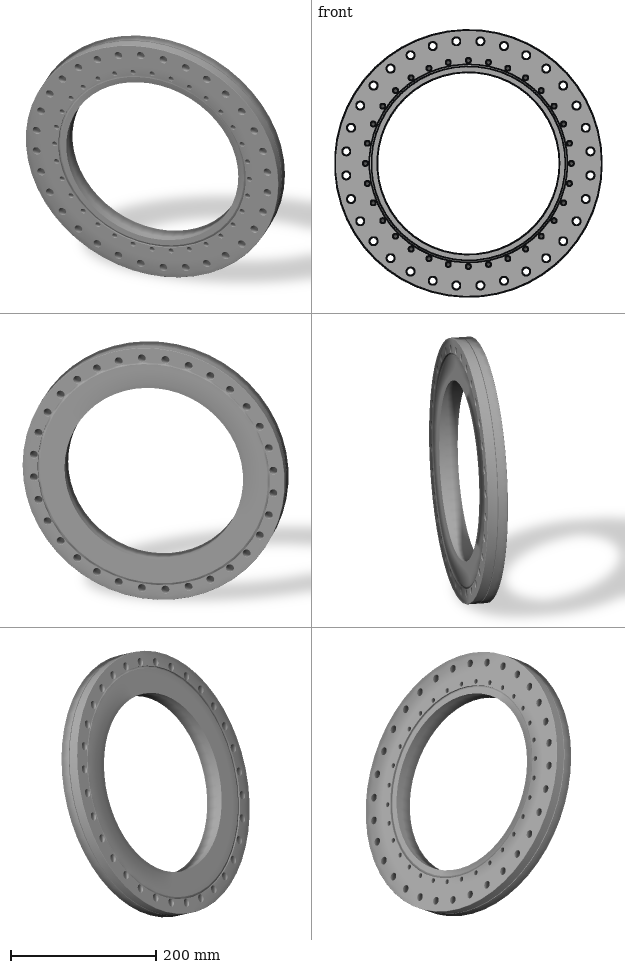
import cadquery as cq
import math

outer_diameter = 368.3
bore_diameter = 250.8
thickness = 28.5
rim_chamfer = 0.5
front_face = -thickness / 2
rear_face = thickness / 2

front_recess_diameter = 273.3
rear_recess_diameter = 326.3
flank_width = 3.0
flank_depth = 1.5
land_depth = 1.0

rim_groove_width = 1.0
rim_groove_depth = 2.0

bolt_count = 32
bolt_hole_diameter = 10.5
bolt_circle_diameter = 338.0

blind_count = 32
blind_hole_diameter = 6.5
blind_circle_diameter = 284.0
blind_depth = 11.0
drill_point_angle = 118.0

mouth_chamfer = 0.5


def revolve_about_y(points):
    """Revolve a closed outline of (radius, y) points around the Y axis."""
    return cq.Workplane("XY").polyline(points).close().revolve(360, (0, 0), (0, 1))


def copy_around(tool, circle_diameter, count, start_angle):
    """Place equally spaced copies of a tool, made on the Y axis, on a circle around that axis."""
    copies = cq.Workplane("XY")
    for index in range(count):
        angle = start_angle + index * 360 / count
        moved = tool.translate((circle_diameter / 2, 0, 0)).rotate((0, 0, 0), (0, 1, 0), angle)
        copies = copies.add(moved)
    return copies.combine()


def ring_body():
    section = [
        (bore_diameter / 2, front_face),
        (outer_diameter / 2 - rim_chamfer, front_face),
        (outer_diameter / 2, front_face + rim_chamfer),
        (outer_diameter / 2, rear_face - rim_chamfer),
        (outer_diameter / 2 - rim_chamfer, rear_face),
        (bore_diameter / 2, rear_face),
    ]
    return revolve_about_y(section)


def seal_recess(recess_diameter, face, inward):
    """Recess cut from a face; inward is the sign of the Y direction into the ring."""
    wall_radius = recess_diameter / 2
    land = face + inward * land_depth
    section = [
        (0, face),
        (wall_radius, face),
        (wall_radius, land + inward * flank_depth),
        (wall_radius - flank_width, land),
        (0, land),
    ]
    return revolve_about_y(section)


def rim_groove():
    floor_radius = outer_diameter / 2 - rim_groove_depth
    section = [
        (floor_radius, -rim_groove_width / 2),
        (outer_diameter / 2, -rim_groove_width / 2),
        (outer_diameter / 2, rim_groove_width / 2),
        (floor_radius, rim_groove_width / 2),
    ]
    return revolve_about_y(section)


def bolt_holes():
    radius = bolt_hole_diameter / 2
    section = [
        (0, front_face),
        (radius + mouth_chamfer, front_face),
        (radius, front_face + mouth_chamfer),
        (radius, rear_face - mouth_chamfer),
        (radius + mouth_chamfer, rear_face),
        (0, rear_face),
    ]
    half_pitch = 180 / bolt_count
    return copy_around(revolve_about_y(section), bolt_circle_diameter, bolt_count, half_pitch)


def blind_holes():
    radius = blind_hole_diameter / 2
    shoulder = front_face + blind_depth
    tip = shoulder + radius / math.tan(math.radians(drill_point_angle / 2))
    section = [
        (0, front_face),
        (radius + mouth_chamfer, front_face),
        (radius, front_face + mouth_chamfer),
        (radius, shoulder),
        (0, tip),
    ]
    return copy_around(revolve_about_y(section), blind_circle_diameter, blind_count, 0)


front_recess = seal_recess(front_recess_diameter, front_face, 1)
rear_recess = seal_recess(rear_recess_diameter, rear_face, -1)

body = ring_body().cut(front_recess).cut(rear_recess).cut(rim_groove())
result = body.cut(bolt_holes()).cut(blind_holes())